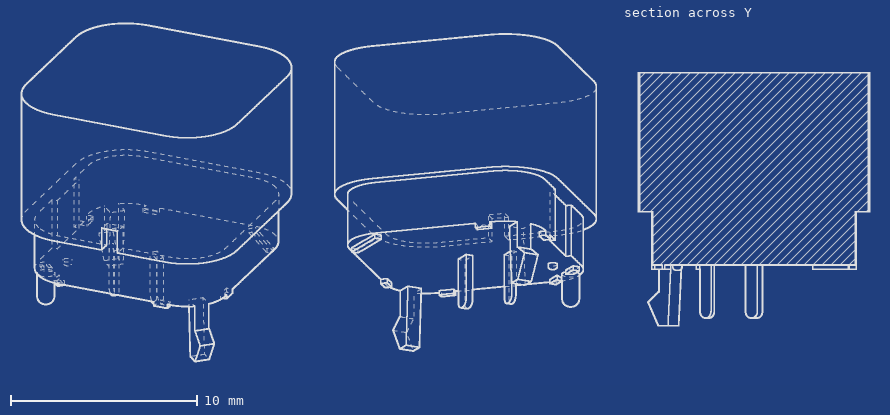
import cadquery as cq
import math

total_height = 13.6
cap_bottom = 6.12
base_bottom = 3.26
foot_bottom = 3.03

cap_width = 12.4
base_width = 11.0
corner_straight = 6.55
base_half = base_width / 2

notch_width = 0.92
notch_height = 1.29
recess_width = 2.88
recess_depth = 0.3

leg_thickness = 0.82
leg_corner = corner_straight / math.sqrt(2) + (base_width - corner_straight) / 2
leg_tip = 7.65
leg_tip_height = 1.28
leg_shoulder_height = 1.82
leg_inner_bottom = 6.12
leg_inner_top = 5.9

foot_start = 2.28
foot_length = 0.82
foot_depth = 0.38
corner_foot_length = 2.7
corner_foot_outer = 6.19

contact_bottom = 0.42
contact_tip_radius = 0.4
side_contact_x = -2.52
side_contact_size = (0.85, 0.26)
center_contact_size = (0.92, 0.4)
locating_pin_diameter = 0.95
locating_pin_position = (-4.5, -4.5)
locating_pin_bottom = 1.44
locating_pin_clearance = 1.5
locating_pin_tip_radius = 0.45
stub_diameter = 0.5
stub_bottom = 2.99
stub_position = (-4.11, -2.55)
stub_tip_radius = 0.16


def rounded_block(width, bottom, top):
    """Square block whose corner arcs all start at the same straight length."""
    block = cq.Workplane("XY", origin=(0, 0, bottom)).rect(width, width).extrude(top - bottom)
    return block.edges("|Z").fillet((width - corner_straight) / 2)


def box(x_range, y_range, z_range):
    """Box given by its limits along each axis."""
    limits = (x_range, y_range, z_range)
    sizes = [high - low for low, high in limits]
    return cq.Workplane("XY", origin=(x_range[0], y_range[0], z_range[0])).box(*sizes, centered=False)


def cap():
    block = rounded_block(cap_width, cap_bottom, total_height)
    notch = box(
        (-notch_width / 2, notch_width / 2),
        (-cap_width / 2, -base_half),
        (cap_bottom, cap_bottom + notch_height),
    )
    return block.cut(notch)


def base():
    block = rounded_block(base_width, base_bottom, cap_bottom)
    recess = box(
        (-base_half, -base_half + recess_depth),
        (-recess_width / 2, recess_width / 2),
        (base_bottom, cap_bottom),
    )
    return block.cut(recess)


def snap_leg():
    """Leg at the +X-Y corner, modelled along +X and turned onto the diagonal."""
    profile = [
        (leg_inner_top, base_bottom),
        (leg_corner, base_bottom),
        (leg_corner, leg_shoulder_height),
        (leg_tip, leg_tip_height),
        (leg_corner, 0),
        (leg_inner_bottom, 0),
    ]
    leg = cq.Workplane("XZ").polyline(profile).close().extrude(leg_thickness / 2, both=True)
    leg = leg.rotate((0, 0, 0), (0, 0, 1), -45)
    stem = leg.intersect(rounded_block(base_width, leg_shoulder_height, base_bottom))
    hook = leg.intersect(box((0, cap_width), (-cap_width, 0), (0, leg_shoulder_height)))
    return stem.union(hook)


def feet():
    """Feet of one half of the base: a bar on each wall at the +X-Y corner and a diagonal bar at +X+Y."""
    heights = (foot_bottom, base_bottom)
    along = (foot_start, foot_start + foot_length)
    front_foot = box(along, (-base_half, -base_half + foot_depth), heights)
    side_foot = box((base_half - foot_depth, base_half), (-along[1], -along[0]), heights)
    corner_foot = box(
        (corner_foot_outer - foot_depth, corner_foot_outer),
        (-corner_foot_length / 2, corner_foot_length / 2),
        heights,
    )
    corner_foot = corner_foot.rotate((0, 0, 0), (0, 0, 1), 45)
    return front_foot.union(side_foot).union(corner_foot)


def contact(x, size):
    """Flat contact turned 45 degrees, with rounded corners at its tip."""
    width, thickness = size
    height = base_bottom - contact_bottom
    blade = cq.Workplane("XY").box(width, thickness, height, centered=(True, True, False))
    blade = blade.faces("<Z").edges("|Y").fillet(contact_tip_radius)
    return blade.rotate((0, 0, 0), (0, 0, 1), -45).translate((x, 0, contact_bottom))


def round_pin(position, diameter, bottom):
    """Cylinder reaching from the given height up to the underside of the base."""
    pin = cq.Workplane("XY", origin=(*position, bottom))
    return pin.circle(diameter / 2).extrude(base_bottom - bottom)


locating_pin = round_pin(locating_pin_position, locating_pin_diameter, locating_pin_bottom)
locating_pin = locating_pin.faces("<Z").edges().fillet(locating_pin_tip_radius)
stub = round_pin(stub_position, stub_diameter, stub_bottom)
stub = stub.faces("<Z").edges().fillet(stub_tip_radius)

result = cap().union(base())
for turn in (0, 180):
    for detail in (snap_leg(), feet()):
        result = result.union(detail.rotate((0, 0, 0), (0, 0, 1), turn))
result = result.cut(round_pin(locating_pin_position, locating_pin_clearance, foot_bottom))
result = result.union(contact(side_contact_x, side_contact_size))
result = result.union(contact(0, center_contact_size))
result = result.union(locating_pin).union(stub)